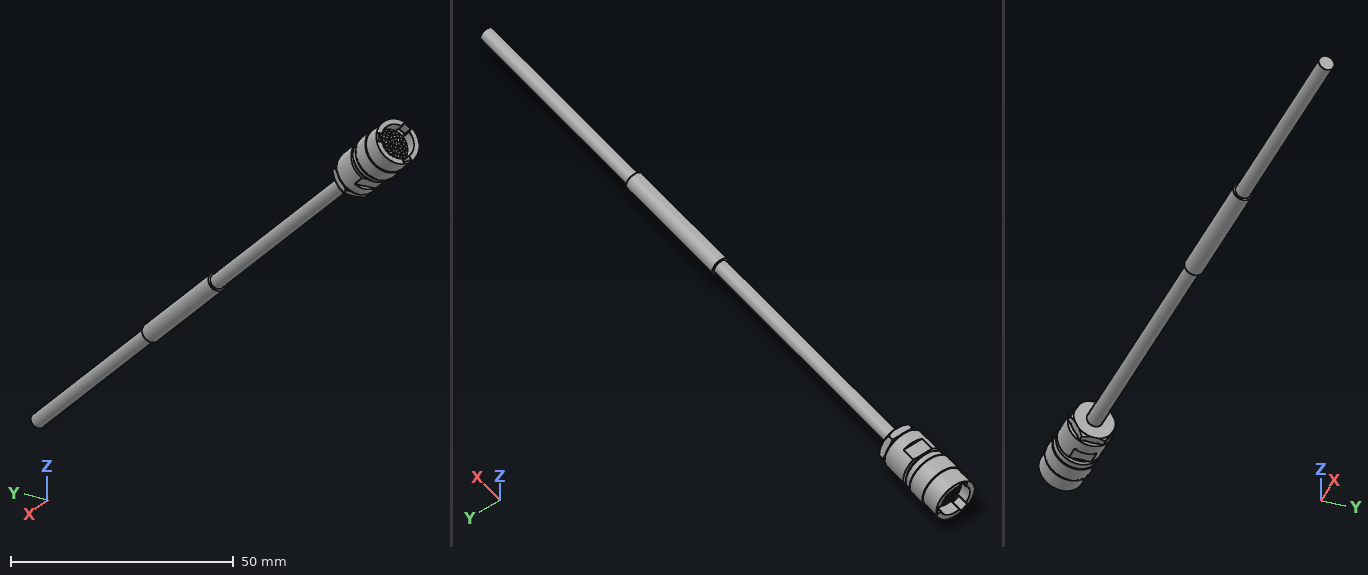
import cadquery as cq
import math

total_length = 171.6

coupling_radius = 5.5
coupling_length = 11.7
band_height = 0.25
band_radius = coupling_radius + band_height
band_start = 4.8
band_end = 9.5
coupling_chamfer = 0.5
bore_radius = 4.1
keyway_count = 3
keyway_width = 2.0
keyway_radius = 5.0

insert_depth = 3.1
contact_hole_radius = 0.43
contact_hole_depth = 1.7
contact_pitch = 1.12
contact_rings = 3
contacts_per_ring_step = 6

housing_radius = coupling_radius
neck_radius = 4.5
neck_length = 0.3
housing_end = 19.4
housing_chamfer = 0.5
flat_half_height = 4.8
flat_end = 15.6

hex_sides = 6
hex_across_flats = 9.8
hex_corner_radius = hex_across_flats / math.sqrt(3)
hex_end = 21.5
hex_chamfer = 0.7

cable_radius = 1.9
sleeve_radius = 2.4
sleeve_start = 86.0
sleeve_end = 117.5


def rod(radius, start, end):
    """Solid cylinder about the X axis."""
    return cq.Workplane("YZ", origin=(start, 0, 0)).circle(radius).extrude(end - start)


def make_keyway(angle):
    """Slot in the bore wall, from the plug face to the insert, turned from +Y about X."""
    slot = cq.Workplane("XY").box(
        insert_depth, keyway_radius, keyway_width, centered=(False, False, True)
    )
    return slot.rotate((0, 0, 0), (1, 0, 0), angle)


def make_coupling():
    ring = rod(coupling_radius, 0, coupling_length).faces(">X").chamfer(coupling_chamfer)
    ring = ring.union(rod(band_radius, band_start, band_end))
    ring = ring.cut(rod(bore_radius, 0, coupling_length))
    for index in range(keyway_count):
        ring = ring.cut(make_keyway(360 * index / keyway_count))
    return ring


def contact_points():
    """One central contact with evenly spaced circular rings around it."""
    points = [(0, 0)]
    for ring in range(1, contact_rings + 1):
        count = contacts_per_ring_step * ring
        for index in range(count):
            angle = 2 * math.pi * index / count
            radius = ring * contact_pitch
            points.append((radius * math.cos(angle), radius * math.sin(angle)))
    return points


def make_insert():
    holes = (
        cq.Workplane("YZ", origin=(insert_depth, 0, 0))
        .pushPoints(contact_points())
        .circle(contact_hole_radius)
        .extrude(contact_hole_depth)
    )
    return rod(bore_radius, insert_depth, coupling_length).cut(holes)


def make_hex():
    """Hexagon with flats facing +Z and -Z and its far corners chamfered."""
    length = hex_end - housing_end
    prism = (
        cq.Workplane("YZ", origin=(housing_end, 0, 0))
        .polygon(hex_sides, 2 * hex_corner_radius)
        .extrude(length)
    )
    envelope = rod(hex_corner_radius, housing_end, hex_end).faces(">X").chamfer(hex_chamfer)
    return prism.intersect(envelope)


def make_housing():
    body_start = coupling_length + neck_length
    body = rod(housing_radius, body_start, housing_end).faces(">X").chamfer(housing_chamfer)
    flat_length = flat_end - body_start
    flat_depth = housing_radius - flat_half_height
    for side in (-1, 1):
        cutter = cq.Workplane("XY").box(flat_length, 2 * housing_radius, flat_depth).translate(
            (body_start + flat_length / 2, 0, side * (flat_half_height + flat_depth / 2))
        )
        body = body.cut(cutter)
    neck = rod(neck_radius, coupling_length, body_start)
    return body.union(neck).union(make_hex())


def make_cable():
    return rod(cable_radius, hex_end, total_length)


def make_sleeve():
    return rod(sleeve_radius, sleeve_start, sleeve_end).cut(rod(cable_radius, sleeve_start, sleeve_end))


coupling = make_coupling()
insert = make_insert()
housing = make_housing()
cable = make_cable()
sleeve = make_sleeve()

result = cq.Compound.makeCompound(
    [coupling.val(), insert.val(), housing.val(), cable.val(), sleeve.val()]
)